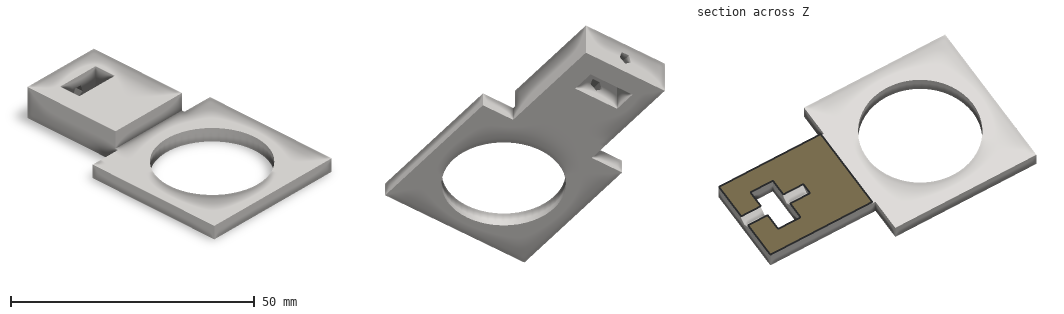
import cadquery as cq

length = 59.6
plate_width = 35.2
block_height = 7.5

plate_start = 25.45
plate_thickness = 3.3
opening_diameter = 25.5
opening_x = (plate_start + length) / 2

block_length = 24.75
block_width = 19.95

slot_start = 4.8
slot_length = 5.35
slot_width = 10.6

bore_diameter = 3.0
bore_sides = 5
bore_depth = slot_start + slot_length + slot_start


def box(x_start, x_end, width, height):
    """Box standing on Z = 0, centred on Y = 0, between two X positions."""
    return (
        cq.Workplane("XY", origin=(x_start, 0, 0))
        .box(x_end - x_start, width, height, centered=(False, True, False))
    )


def pentagon_bore():
    """Bore at mid height of the block, with one corner pointing down."""
    bore_plane = cq.Plane(
        origin=(0, 0, block_height / 2), xDir=(0, 0, -1), normal=(1, 0, 0)
    )
    return cq.Workplane(bore_plane).polygon(bore_sides, bore_diameter).extrude(bore_depth)


plate = box(plate_start, length, plate_width, plate_thickness)
neck = box(0, plate_start, block_width, plate_thickness)
block = box(0, block_length, block_width, block_height)
slot = box(slot_start, slot_start + slot_length, slot_width, block_height)
opening = (
    cq.Workplane("XY", origin=(opening_x, 0, 0))
    .circle(opening_diameter / 2)
    .extrude(plate_thickness)
)

result = block.union(neck).union(plate).cut(slot).cut(opening).cut(pentagon_bore())